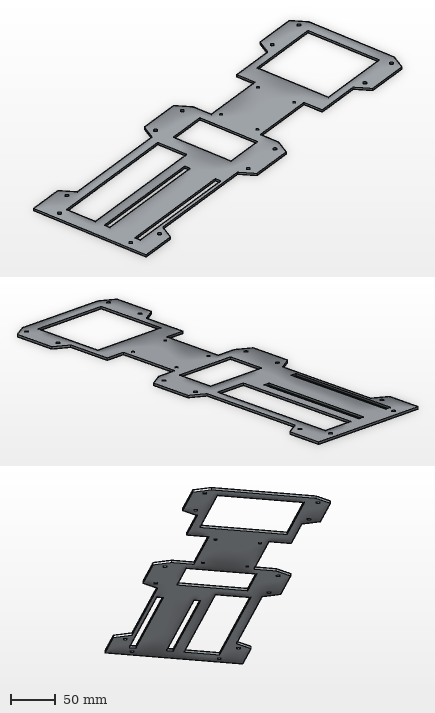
import cadquery as cq
import math

THICKNESS = 3.0
LENGTH = 490.24
WING_WIDTH = 158.0
BODY_WIDTH = 120.0
NECK_WIDTH = 69.0
NECK_START = 273.5
NECK_END = 355.24

WING_SLOPE = 30.0
SHOULDER_RUN = (WING_WIDTH - BODY_WIDTH) / 2
SHOULDER_RISE = SHOULDER_RUN * math.tan(math.radians(WING_SLOPE))
WING_SIDE = 55.0
TAIL_WING_TOP = 45.75
MIDDLE_WING_TOP = NECK_START - SHOULDER_RISE
MIDDLE_WING_BOTTOM = MIDDLE_WING_TOP - WING_SIDE
HEAD_WING_TOP = LENGTH - SHOULDER_RISE
HEAD_WING_BOTTOM = HEAD_WING_TOP - WING_SIDE

MOUNT_DIAMETER = 4.3
NECK_HOLE_DIAMETER = 3.17
WING_HOLE_SPACING = 130.0
WING_HOLE_PITCH = 50.0
TAIL_HOLE_SPACING = 100.0
NECK_HOLE_SPACING = 51.0
HEAD_HOLE_Y = 478.4
MIDDLE_HOLE_Y = 260.0
TAIL_WING_HOLE_Y = 43.8
TAIL_HOLE_Y = 10.0
NECK_HOLE_YS = (279.8, 348.8)

HEAD_WINDOW_SIZE = (100.0, 95.0)
HEAD_WINDOW_BOTTOM = 380.24
MIDDLE_WINDOW_SIZE = (81.0, 49.5)
MIDDLE_WINDOW_BOTTOM = 210.5
OPENING_BOTTOM = 20.5
BAY_SIZE = (40.5, 171.0)
BAY_LEFT = -48.0
SLOT_SIZE = (7.5, 150.5)
SLOT_LEFTS = (5.2, 48.0)


def make_plate():
    wing = WING_WIDTH / 2
    body = BODY_WIDTH / 2
    neck = NECK_WIDTH / 2
    right_side = [
        (wing, 0),
        (wing, TAIL_WING_TOP),
        (body, TAIL_WING_TOP + SHOULDER_RISE),
        (body, MIDDLE_WING_BOTTOM - SHOULDER_RISE),
        (wing, MIDDLE_WING_BOTTOM),
        (wing, MIDDLE_WING_TOP),
        (body, NECK_START),
        (neck, NECK_START),
        (neck, NECK_END),
        (body, NECK_END),
        (body, HEAD_WING_BOTTOM - SHOULDER_RISE),
        (wing, HEAD_WING_BOTTOM),
        (wing, HEAD_WING_TOP),
        (body, LENGTH),
    ]
    left_side = [(-x, y) for x, y in reversed(right_side)]
    return cq.Workplane("XY").polyline(right_side + left_side).close().extrude(THICKNESS)


def cut_opening(plate, left, bottom, size):
    width, length = size
    cutter = cq.Workplane("XY").box(width, length, THICKNESS, centered=False)
    return plate.cut(cutter.translate((left, bottom, 0)))


def cut_hole_pairs(plate, diameter, spacing, heights):
    points = [(side * spacing / 2, y) for y in heights for side in (-1, 1)]
    cutters = cq.Workplane("XY").pushPoints(points).circle(diameter / 2).extrude(THICKNESS)
    return plate.cut(cutters)


result = make_plate()

result = cut_opening(result, -HEAD_WINDOW_SIZE[0] / 2, HEAD_WINDOW_BOTTOM, HEAD_WINDOW_SIZE)
result = cut_opening(result, -MIDDLE_WINDOW_SIZE[0] / 2, MIDDLE_WINDOW_BOTTOM, MIDDLE_WINDOW_SIZE)
result = cut_opening(result, BAY_LEFT, OPENING_BOTTOM, BAY_SIZE)
for slot_left in SLOT_LEFTS:
    result = cut_opening(result, slot_left, OPENING_BOTTOM, SLOT_SIZE)

wing_hole_ys = (
    TAIL_WING_HOLE_Y,
    MIDDLE_HOLE_Y - WING_HOLE_PITCH,
    MIDDLE_HOLE_Y,
    HEAD_HOLE_Y - WING_HOLE_PITCH,
    HEAD_HOLE_Y,
)
result = cut_hole_pairs(result, MOUNT_DIAMETER, WING_HOLE_SPACING, wing_hole_ys)
result = cut_hole_pairs(result, MOUNT_DIAMETER, TAIL_HOLE_SPACING, (TAIL_HOLE_Y,))
result = cut_hole_pairs(result, NECK_HOLE_DIAMETER, NECK_HOLE_SPACING, NECK_HOLE_YS)